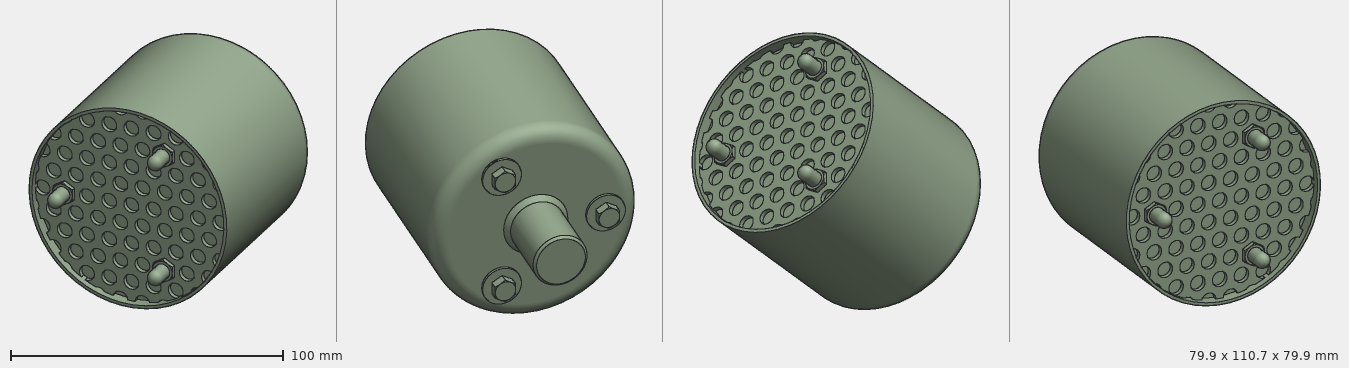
import cadquery as cq
import math


total_length = 110.7
pin_projection = 7.9
body_end = 82.7

body_diameter = 79.9
body_fillet = 6.0
recess_diameter = 77.5
recess_depth = 3.0
plate_level = pin_projection + recess_depth

hole_diameter = 6.0
hole_depth = 2.0
hole_pitch = 9.0
row_pitch = hole_pitch * math.sqrt(3) / 2

tube_diameter = 20.9
tube_chamfer = 1.0
weld_size = 2.0

bolt_count = 3
bolt_circle_radius = 3 * hole_pitch
pin_diameter = 6.0
hex_across_flats = 8.0
hex_chamfer_angle = math.radians(30)
nut_height = 2.0
washer_diameter = 15.0
washer_thickness = 1.1
head_height = 3.8


def disc(diameter, start, length, x=0.0, z=0.0):
    """Cylinder along +Y from the level `start`, centred on (x, z)."""
    centre = cq.Vector(x, start, z)
    return cq.Workplane(cq.Solid.makeCylinder(diameter / 2, length, centre, cq.Vector(0, 1, 0)))


def hexagon(start, length, x, z, chamfered_end):
    """Hexagonal prism along +Y, corners along Z, with its corners bevelled at "<Y" or ">Y"."""
    corner_diameter = hex_across_flats / math.cos(math.pi / 6)
    prism = cq.Workplane("XZ").polygon(6, corner_diameter).extrude(-length)
    prism = prism.rotate((0, 0, 0), (0, 1, 0), 30).translate((x, start, z))
    bevel_width = (corner_diameter - hex_across_flats) / 2
    bevel_depth = bevel_width * math.tan(hex_chamfer_angle)
    envelope = disc(corner_diameter, start, length, x, z).faces(chamfered_end)
    envelope = envelope.chamfer(bevel_depth, bevel_width)
    return prism.intersect(envelope)


def make_body():
    body = disc(body_diameter, pin_projection, body_end - pin_projection)
    body = body.faces(">Y").edges().fillet(body_fillet)
    return body.cut(disc(recess_diameter, pin_projection, recess_depth))


def perforations():
    """Blind holes on the triangular grid, trimmed to the recess where they cross its wall."""
    reach = (recess_diameter + hole_diameter) / 2
    rows = math.ceil(reach / row_pitch)
    columns = math.ceil(reach / hole_pitch)
    centres = []
    for row in range(-rows, rows + 1):
        for column in range(-columns, columns + 1):
            x = (column + (row % 2) / 2) * hole_pitch
            z = row * row_pitch
            if math.hypot(x, z) < reach:
                centres.append((x, z))
    holes = cq.Workplane("XZ").pushPoints(centres).circle(hole_diameter / 2).extrude(-hole_depth)
    holes = holes.translate((0, plate_level, 0))
    return holes.intersect(disc(recess_diameter, plate_level, hole_depth))


def make_tube():
    """Chamfered stub with a conical weld at its foot."""
    tube = disc(tube_diameter, body_end, total_length - body_end)
    tube = tube.faces(">Y").chamfer(tube_chamfer)
    foot_radius = tube_diameter / 2
    weld = cq.Solid.makeCone(
        foot_radius + weld_size, foot_radius, weld_size,
        cq.Vector(0, body_end, 0), cq.Vector(0, 1, 0),
    )
    return tube.union(cq.Workplane(weld))


def make_bolt(x, z):
    """Round-tipped pin and nut at the plate, washer and hexagonal head on the closed end."""
    tip_radius = pin_diameter / 2
    pin = disc(pin_diameter, tip_radius, plate_level + hole_depth - tip_radius, x, z)
    tip = cq.Solid.makeSphere(tip_radius, cq.Vector(x, tip_radius, z), cq.Vector(0, 1, 0), -90, 90, 360)
    nut = hexagon(plate_level - nut_height, nut_height + hole_depth, x, z, "<Y")
    washer = disc(washer_diameter, body_end, washer_thickness, x, z)
    head = hexagon(body_end + washer_thickness, head_height, x, z, ">Y")
    return pin.union(cq.Workplane(tip)).union(nut).union(washer).union(head)


result = make_body().cut(perforations()).union(make_tube())
for index in range(bolt_count):
    angle = math.pi + index * 2 * math.pi / bolt_count
    bolt_x = bolt_circle_radius * math.cos(angle)
    bolt_z = bolt_circle_radius * math.sin(angle)
    result = result.union(make_bolt(bolt_x, bolt_z))